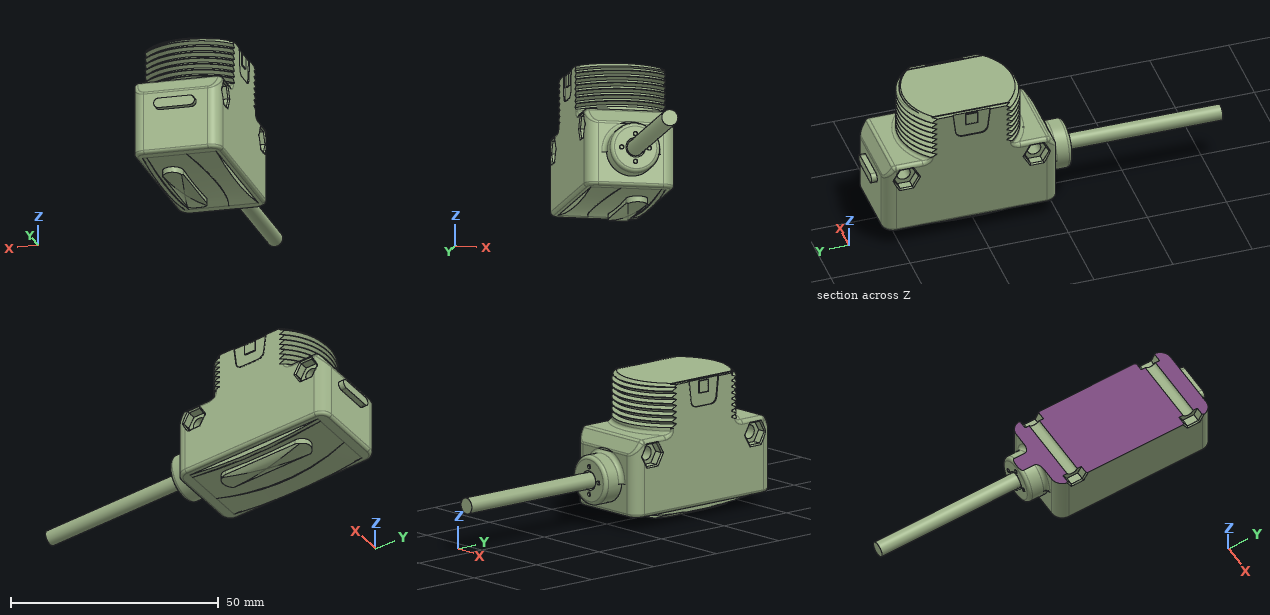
import cadquery as cq
import math


block_width = 22.0
block_length = 44.0
shoulder_height = 19.1
corner_radius = 3.0
bottom_radius = 0.8
end_bevel_length = 2.3
end_bevel_height = 3.6
top_edge_radius = 1.0

barrel_top = 31.55
barrel_radius = 15.0
barrel_chamfer = 1.2
base_flare_radius = 0.9
foot_height = 1.5
thread_pitch = 1.5
thread_depth = 0.9
thread_start = 20.25
thread_turns = 8
crest_width = 0.15
groove_overrun = 0.3

ledge_width = 1.0
ledge_drop = 0.2

recess_top_width = 9.4
recess_bottom_width = 7.8
recess_height = 6.8
recess_depth = 0.3
recess_corner_radius = 1.8
catch_size = 3.0
catch_drop = 0.55

mount_y = 16.5
mount_z = 15.15
mount_hole_diameter = 3.4
nut_across_flats = 5.4
nut_depth = 2.4
nut_bevel = 0.35

cable_z = 8.5
cable_diameter = 4.0
cable_end_y = -66.42
gland_radius = 6.1
gland_length = 5.15
gland_edge_radius = 0.9
gland_flare_radius = 1.1
flare_drop = 0.5
entry_bevel = 0.4
pip_count = 4
pip_radius = 3.4
pip_diameter = 1.0
pip_depth = 0.5

window_width = 10.2
window_height = 2.45
window_z = 12.05
window_proud = 1.46

cover_width = 18.4
cover_half_length = 18.8
cover_bulge = 1.4
channel_left = -4.4
channel_right = 8.1
channel_depth = 0.3
channel_left_radius = 70.0

slider_x = 3.9
slider_width = 5.2
slider_length = 25.6
slider_wall = 2.0
slider_drop = 3.2

half_width = block_width / 2
half_length = block_length / 2


def make_foot():
    """Plain foot of the barrel, flared where it stands on the shoulder."""
    foot_top = shoulder_height + foot_height
    flare_top = shoulder_height + base_flare_radius
    bow = base_flare_radius * (1 - math.sqrt(0.5))
    foot = (
        cq.Workplane("XZ")
        .moveTo(0, shoulder_height)
        .lineTo(barrel_radius + base_flare_radius, shoulder_height)
        .threePointArc((barrel_radius + bow, shoulder_height + bow), (barrel_radius, flare_top))
        .lineTo(barrel_radius, foot_top)
        .lineTo(0, foot_top)
        .close()
        .revolve(360, (0, 0), (0, 1))
    )
    return foot.intersect(barrel_flats(foot_top))


def make_block():
    """Block with rounded corners, bevelled ends and rounded edges that run up the barrel foot."""
    slack = 0.01
    bevel_foot = shoulder_height - end_bevel_height
    bevel_head = half_length - end_bevel_length
    profile = (
        cq.Workplane("YZ")
        .polyline([
            (-half_length, 0),
            (half_length, 0),
            (half_length, bevel_foot),
            (bevel_head, shoulder_height),
            (-bevel_head, shoulder_height),
            (-half_length, bevel_foot),
        ])
        .close()
        .extrude(half_width, both=True)
    )
    rounded = (
        cq.Workplane("XY")
        .rect(block_width, block_length)
        .extrude(shoulder_height)
        .edges("|Z")
        .fillet(corner_radius)
    )
    block = profile.intersect(rounded)
    block = block.faces("<Z").edges().fillet(bottom_radius)
    block = block.union(make_foot())
    upper = cq.selectors.BoxSelector(
        (-block_width, -block_length, bevel_foot - slack),
        (block_width, block_length, shoulder_height + foot_height - slack),
    )
    foot_seams = cq.selectors.BoxSelector(
        (-slack, -barrel_radius, shoulder_height - slack),
        (slack, barrel_radius, shoulder_height + foot_height),
    )
    return block.edges(upper - foot_seams).fillet(top_edge_radius)


def barrel_flats(height, width=block_width):
    """Slab standing on Z = 0 that trims the barrel to its two flats."""
    return cq.Workplane("XY").box(width, 4 * barrel_radius, height, centered=(True, True, False))


def make_thread_groove():
    """Helical V groove; it starts and ends in the stock removed by the flats."""
    half_mouth = (thread_pitch - crest_width) / 2
    outside = barrel_radius + groove_overrun
    path = cq.Wire.makeHelix(thread_pitch, thread_pitch * thread_turns, barrel_radius)
    groove = (
        cq.Workplane("XZ")
        .polyline([
            (barrel_radius - thread_depth, 0),
            (barrel_radius, half_mouth),
            (outside, half_mouth),
            (outside, -half_mouth),
            (barrel_radius, -half_mouth),
        ])
        .close()
        .sweep(cq.Workplane(path), isFrenet=True)
    )
    return groove.translate((0, 0, thread_start))


def make_barrel():
    """Plain upper part of the barrel with two flats, standing on the foot."""
    barrel = (
        cq.Workplane("XY", origin=(0, 0, shoulder_height + foot_height))
        .circle(barrel_radius)
        .extrude(barrel_top - shoulder_height - foot_height)
        .faces(">Z")
        .chamfer(barrel_chamfer)
    )
    barrel = barrel.intersect(barrel_flats(barrel_top))
    ledges = barrel_flats(ledge_drop).cut(barrel_flats(ledge_drop, block_width - 2 * ledge_width))
    return barrel.cut(ledges.translate((0, 0, barrel_top - ledge_drop)))


def make_latch_recess():
    """U-shaped recess, open at the top, around a square catch; cut into the -X flat."""
    recess = (
        cq.Workplane("YZ", origin=(-half_width, 0, barrel_top))
        .polyline([
            (-recess_top_width / 2, 0),
            (recess_top_width / 2, 0),
            (recess_bottom_width / 2, -recess_height),
            (-recess_bottom_width / 2, -recess_height),
        ])
        .close()
        .extrude(recess_depth)
        .edges("|X and <Z")
        .fillet(recess_corner_radius)
    )
    catch = (
        cq.Workplane("YZ", origin=(-half_width, 0, barrel_top - catch_drop - catch_size / 2))
        .rect(catch_size, catch_size)
        .extrude(recess_depth)
    )
    return recess.cut(catch)


def make_mount_cut(y):
    """Through hole with a bevelled hexagonal nut pocket at both ends."""
    plane = cq.Workplane("YZ", origin=(-half_width, y, mount_z))
    hole = plane.circle(mount_hole_diameter / 2).extrude(block_width)
    corner_factor = 1 / math.cos(math.pi / 6)
    pocket = plane.polygon(6, nut_across_flats * corner_factor).extrude(nut_depth)
    mouth = (
        plane.polygon(6, (nut_across_flats + 2 * nut_bevel) * corner_factor)
        .workplane(offset=nut_bevel)
        .polygon(6, nut_across_flats * corner_factor)
        .loft()
    )
    nut_recess = pocket.union(mouth)
    return hole.union(nut_recess).union(nut_recess.mirror("YZ"))


def gland_plane(y):
    """Plane across the cable axis, facing -Y."""
    return cq.Workplane("XZ", origin=(0, y, cable_z))


def make_gland():
    """Round cable gland with a flared upper half where it leaves the block."""
    gland = gland_plane(-half_length).circle(gland_radius).extrude(gland_length)
    gland = gland.faces("<Y").edges().fillet(gland_edge_radius)
    bow = gland_flare_radius * (1 - math.sqrt(0.5))
    flare = (
        cq.Workplane("XY", origin=(0, -half_length, cable_z))
        .lineTo(gland_radius + gland_flare_radius, 0)
        .threePointArc((gland_radius + bow, -bow), (gland_radius, -gland_flare_radius))
        .lineTo(0, -gland_flare_radius)
        .close()
        .revolve(360, (0, 0), (0, 1))
    )
    upper_half = cq.Workplane("XY", origin=(0, -half_length, cable_z - flare_drop)).box(
        block_width, block_length, block_width, centered=(True, True, False)
    )
    return gland.union(flare.intersect(upper_half))


def make_gland_cut():
    """Cable bore, bevelled at its mouth, with a ring of small blind holes around it."""
    face_y = -half_length - gland_length
    bore = gland_plane(-half_length).circle(cable_diameter / 2).extrude(gland_length)
    mouth = cq.Workplane(cq.Solid.makeCone(
        cable_diameter / 2 + entry_bevel,
        cable_diameter / 2,
        entry_bevel,
        cq.Vector(0, face_y, cable_z),
        cq.Vector(0, 1, 0),
    ))
    pips = (
        gland_plane(face_y)
        .polarArray(pip_radius, 0, 360, pip_count)
        .circle(pip_diameter / 2)
        .extrude(-pip_depth)
    )
    return bore.union(mouth).union(pips)


def make_window():
    """Slot-shaped window standing proud of the +Y end."""
    return (
        cq.Workplane("XZ", origin=(0, half_length, window_z))
        .slot2D(window_width, window_height)
        .extrude(-window_proud)
    )


def make_bulge(height):
    """Shallow arched slab under the block, as deep as `height` at its middle."""
    return (
        cq.Workplane("YZ")
        .moveTo(-cover_half_length, 0)
        .threePointArc((0, -height), (cover_half_length, 0))
        .close()
        .extrude(cover_width / 2, both=True)
    )


def make_cover():
    """Bulged cover with a shallow channel along Y around the slider."""
    bow = channel_left_radius - math.sqrt(channel_left_radius**2 - cover_half_length**2)
    channel = (
        cq.Workplane("XY")
        .moveTo(channel_right, -cover_half_length)
        .lineTo(channel_right, cover_half_length)
        .lineTo(channel_left + bow, cover_half_length)
        .threePointArc((channel_left, 0), (channel_left + bow, -cover_half_length))
        .close()
        .extrude(-cover_bulge)
    )
    return make_bulge(cover_bulge).cut(channel).union(make_bulge(cover_bulge - channel_depth))


def make_crown(plane, span, width):
    """Prism along the plane normal whose underside is an arc from the slider wall to its low point."""
    return (
        cq.Workplane(plane)
        .moveTo(-span / 2, 0)
        .lineTo(-span / 2, -slider_wall)
        .threePointArc((0, -slider_drop), (span / 2, -slider_wall))
        .lineTo(span / 2, 0)
        .close()
        .extrude(width / 2, both=True)
    )


def make_slider():
    """Slot-shaped slider whose underside is crowned in both directions."""
    slider = cq.Workplane("XY").slot2D(slider_length, slider_width, 90).extrude(-slider_drop)
    slider = slider.intersect(make_crown("XZ", slider_width, slider_length))
    slider = slider.intersect(make_crown("YZ", slider_length, slider_width))
    return slider.translate((slider_x, 0, 0))


def make_housing():
    housing = make_block().union(make_barrel()).cut(make_thread_groove())
    housing = housing.union(make_gland()).union(make_window())
    housing = housing.union(make_cover()).union(make_slider())
    recess = make_latch_recess()
    housing = housing.cut(recess).cut(recess.mirror("YZ"))
    for side in (-1, 1):
        housing = housing.cut(make_mount_cut(side * mount_y))
    return housing.cut(make_gland_cut())


def make_cable():
    """Round cable seated in the bore of the gland."""
    return gland_plane(-half_length).circle(cable_diameter / 2).extrude(-half_length - cable_end_y)


housing = make_housing()
cable = make_cable()
result = cq.Compound.makeCompound([housing.val(), cable.val()])